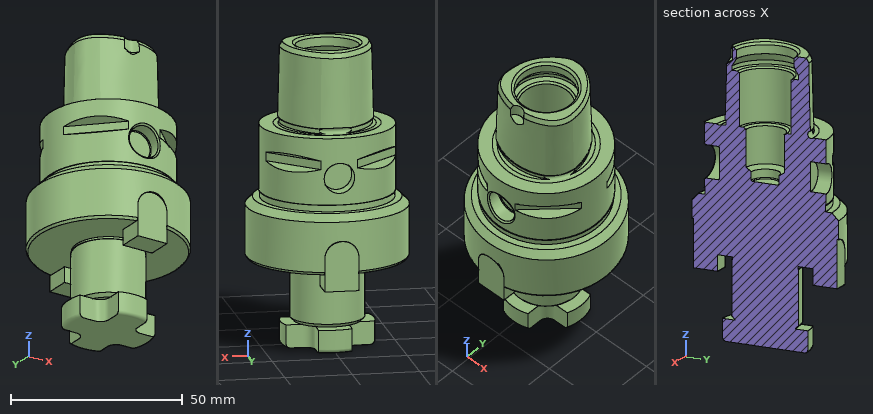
import cadquery as cq
import math

HEAD_TOP = 7.0
FLANGE_BOTTOM = 26.0
FLANGE_TOP = 44.0
BODY_BOTTOM = 46.0
BODY_TOP = 66.0
NECK_TOP = 67.4
SHANK_TOP = 90.0

FLANGE_DIA = 48.0
FLANGE_TOP_CHAMFER = 2.2
FLANGE_BOTTOM_CHAMFER = (0.5, 0.8)
BODY_DIA = 40.0
RELIEF_DIA = 39.5
SPINDLE_DIA = 22.0
SPINDLE_RELIEF_DIA = 21.6
SPINDLE_RELIEF_LENGTH = 0.7
SPINDLE_CHAMFER = 1.1

LOBE_ANGLES = (90, 210, 330)
ARC_HALF_ANGLE = 30
OPPOSITE_LOBE = 240
LOBE_CENTRE_RADIUS = 6.1
LOBE_RADIUS = 8.7
TAPER_RATIO = 0.025
SHANK_CHAMFER_HEIGHT = 1.4
SHANK_CHAMFER_ANGLE = 30
NECK_INSET = 0.3

GROOVE_CENTRE_RADIUS = 15.0
GROOVE_CENTRE_RISE = 0.8
GROOVE_RADIUS = 1.1

NOTCH_DIA = 5.6
NOTCH_OFFSET = 13.6
NOTCH_DEPTH = 4.0
NOTCH_POINT_ANGLE = 104

BORE_MOUTH_DIA = 20.3
BORE_UPPER_DIA = 18.7
BORE_LIP_DEPTH = 0.7
BORE_UPPER_DEPTH = 3.4
BORE_GROOVE_DIA = 21.6
BORE_GROOVE_TAPER_DEPTH = 5.8
BORE_GROOVE_BOTTOM_DEPTH = 7.0
BORE_SEAT_DIA = 18.0
BORE_LOWER_DIA = 16.7
BORE_LOWER_TOP_DEPTH = 7.6
BORE_LOWER_DEPTH = 23.85
COUNTERSINK_DIA = 14.2
COUNTERSINK_LENGTH = 0.5
THREAD_DIA = 12.4
THREAD_DEPTH = 36.0
THREAD_POINT_LENGTH = 1.1
BORE_END_DIA = 9.0
BORE_FLOOR_DIA = 8.4
BORE_FLOOR_DEPTH = 40.0

RADIAL_HOLE_HEIGHT = 54.0
RADIAL_HOLE_DEPTH = 5.0
FRONT_HOLE_DIA = 10.0
FRONT_HOLE_CHAMFER = 0.5
FRONT_HOLE_FLOOR_BEVEL = 0.3
REAR_HOLE_DIA = 9.0

GRIPPER_HEIGHT = 58.0
GRIPPER_ANGLES = (45, 135, 225, 315)
GRIPPER_FLOOR_DISTANCE = 17.5
GRIPPER_FLOOR_WIDTH = 2.5
GRIPPER_MOUTH_WIDTH = 5.2

KEY_WIDTH = 10.1
KEY_BOTTOM = 21.0
KEY_TOP = 36.0
KEY_OUTER = 23.5
KEY_INNER = 15.6

HEAD_DIA = 28.0
ARM_WIDTH = 10.0
ARM_CORNER_RADIUS = 3.0
HEAD_ROUND = 1.3

CLEARANCE = 4.5


def polar(radius, angle, centre=(0, 0)):
    """Point at a radius and an angle in degrees around a centre."""
    turn = math.radians(angle)
    return centre[0] + radius * math.cos(turn), centre[1] + radius * math.sin(turn)


def revolve_profile(points):
    """Solid of revolution about Z from (radius, height) points."""
    return cq.Workplane("XZ").polyline(points).close().revolve(360, (0, 0), (0, 1))


def turned_body():
    spindle = SPINDLE_DIA / 2
    spindle_relief = SPINDLE_RELIEF_DIA / 2
    flange = FLANGE_DIA / 2
    relief = RELIEF_DIA / 2
    body = BODY_DIA / 2
    bottom_inset, bottom_rise = FLANGE_BOTTOM_CHAMFER
    return revolve_profile([
        (0, HEAD_TOP),
        (spindle - SPINDLE_CHAMFER, HEAD_TOP),
        (spindle, HEAD_TOP + SPINDLE_CHAMFER),
        (spindle, FLANGE_BOTTOM - SPINDLE_RELIEF_LENGTH),
        (spindle_relief, FLANGE_BOTTOM - SPINDLE_RELIEF_LENGTH),
        (spindle_relief, FLANGE_BOTTOM),
        (flange - bottom_inset, FLANGE_BOTTOM),
        (flange, FLANGE_BOTTOM + bottom_rise),
        (flange, FLANGE_TOP - FLANGE_TOP_CHAMFER),
        (flange - FLANGE_TOP_CHAMFER, FLANGE_TOP),
        (relief, FLANGE_TOP),
        (relief, BODY_BOTTOM),
        (body, BODY_BOTTOM),
        (body, BODY_TOP),
        (0, BODY_TOP),
    ])


def polygon_outline(workplane, inset):
    """Rounded three-lobed outline of constant width: lobe arcs alternate with wide flank arcs."""
    lobe_radius = LOBE_RADIUS - inset
    flank_radius = lobe_radius + LOBE_CENTRE_RADIUS * math.sqrt(3)
    first_centre = polar(LOBE_CENTRE_RADIUS, LOBE_ANGLES[0])
    first_point = polar(lobe_radius, LOBE_ANGLES[0] - ARC_HALF_ANGLE, first_centre)
    outline = workplane.moveTo(*first_point)
    for angle in LOBE_ANGLES:
        lobe_centre = polar(LOBE_CENTRE_RADIUS, angle)
        opposite_centre = polar(LOBE_CENTRE_RADIUS, angle + OPPOSITE_LOBE)
        outline = outline.threePointArc(
            polar(lobe_radius, angle, lobe_centre),
            polar(lobe_radius, angle + ARC_HALF_ANGLE, lobe_centre),
        ).threePointArc(
            polar(flank_radius, angle + 2 * ARC_HALF_ANGLE, opposite_centre),
            polar(flank_radius, angle + 3 * ARC_HALF_ANGLE, opposite_centre),
        )
    return outline.close()


def polygon_frustum(bottom, top, bottom_inset, top_inset):
    lower = polygon_outline(cq.Workplane("XY").workplane(offset=bottom), bottom_inset)
    return polygon_outline(lower.workplane(offset=top - bottom), top_inset).loft(ruled=True)


def shank():
    chamfer_start = SHANK_TOP - SHANK_CHAMFER_HEIGHT
    taper_inset = TAPER_RATIO * (chamfer_start - NECK_TOP)
    chamfer_inset = SHANK_CHAMFER_HEIGHT * math.tan(math.radians(SHANK_CHAMFER_ANGLE))
    neck = polygon_frustum(BODY_TOP, NECK_TOP, NECK_INSET, NECK_INSET)
    taper = polygon_frustum(NECK_TOP, chamfer_start, 0, taper_inset)
    tip = polygon_frustum(chamfer_start, SHANK_TOP, taper_inset, taper_inset + chamfer_inset)
    return neck.union(taper).union(tip)


def foot_groove():
    return (
        cq.Workplane("XZ")
        .center(GROOVE_CENTRE_RADIUS, BODY_TOP + GROOVE_CENTRE_RISE)
        .circle(GROOVE_RADIUS)
        .revolve(360, (-GROOVE_CENTRE_RADIUS, 0), (-GROOVE_CENTRE_RADIUS, 1))
    )


def orientation_notch():
    radius = NOTCH_DIA / 2
    shoulder = SHANK_TOP - NOTCH_DEPTH
    point_depth = radius / math.tan(math.radians(NOTCH_POINT_ANGLE / 2))
    drill = revolve_profile([
        (0, shoulder - point_depth),
        (radius, shoulder),
        (radius, SHANK_TOP + CLEARANCE),
        (0, SHANK_TOP + CLEARANCE),
    ])
    return drill.translate((0, -NOTCH_OFFSET, 0))


def central_bore():
    thread_top = BORE_LOWER_DEPTH + COUNTERSINK_LENGTH
    floor_bevel = (BORE_END_DIA - BORE_FLOOR_DIA) / 2
    steps = [
        (BORE_MOUTH_DIA, 0),
        (BORE_UPPER_DIA, BORE_LIP_DEPTH),
        (BORE_UPPER_DIA, BORE_UPPER_DEPTH),
        (BORE_GROOVE_DIA, BORE_GROOVE_TAPER_DEPTH),
        (BORE_GROOVE_DIA, BORE_GROOVE_BOTTOM_DEPTH),
        (BORE_SEAT_DIA, BORE_GROOVE_BOTTOM_DEPTH),
        (BORE_LOWER_DIA, BORE_LOWER_TOP_DEPTH),
        (BORE_LOWER_DIA, BORE_LOWER_DEPTH),
        (COUNTERSINK_DIA, BORE_LOWER_DEPTH),
        (THREAD_DIA, thread_top),
        (THREAD_DIA, THREAD_DEPTH),
        (BORE_END_DIA, THREAD_DEPTH + THREAD_POINT_LENGTH),
        (BORE_END_DIA, BORE_FLOOR_DEPTH - floor_bevel),
        (BORE_FLOOR_DIA, BORE_FLOOR_DEPTH),
    ]
    wall = [(diameter / 2, SHANK_TOP - depth) for diameter, depth in steps]
    return revolve_profile([(0, SHANK_TOP)] + wall + [(0, SHANK_TOP - BORE_FLOOR_DEPTH)])


def radial_hole(diameter, side):
    """Blind hole into the body, entering from the -Y (side = -1) or +Y (side = 1) surface."""
    floor = side * (BODY_DIA / 2 - RADIAL_HOLE_DEPTH)
    return (
        cq.Workplane("XZ", origin=(0, floor, RADIAL_HOLE_HEIGHT))
        .circle(diameter / 2)
        .extrude(-side * (RADIAL_HOLE_DEPTH + CLEARANCE))
    )


def gripper_groove(angle):
    reach = BODY_DIA / 2 - GRIPPER_FLOOR_DISTANCE
    half_floor = GRIPPER_FLOOR_WIDTH / 2
    half_mouth = GRIPPER_MOUTH_WIDTH / 2
    profile = [
        (GRIPPER_FLOOR_DISTANCE, GRIPPER_HEIGHT - half_floor),
        (GRIPPER_FLOOR_DISTANCE + reach, GRIPPER_HEIGHT - half_mouth),
        (GRIPPER_FLOOR_DISTANCE + reach, GRIPPER_HEIGHT + half_mouth),
        (GRIPPER_FLOOR_DISTANCE, GRIPPER_HEIGHT + half_floor),
    ]
    groove = cq.Workplane("XZ").polyline(profile).close().extrude(BODY_DIA / 2, both=True)
    return groove.rotate((0, 0, 0), (0, 0, 1), angle)


def key_prism(inner, outer, side):
    """Round-topped key outline spanning two distances from the axis along Y."""
    half_width = KEY_WIDTH / 2
    return (
        cq.Workplane("XZ", origin=(0, side * inner, 0))
        .moveTo(-half_width, KEY_BOTTOM)
        .lineTo(half_width, KEY_BOTTOM)
        .lineTo(half_width, KEY_TOP - half_width)
        .threePointArc((0, KEY_TOP), (-half_width, KEY_TOP - half_width))
        .close()
        .extrude(-side * (outer - inner))
    )


def screw_head():
    """Cross of four arms with rounded inner corners, trimmed to a disc rounded at its lower edge."""
    disc = cq.Workplane("XY").circle(HEAD_DIA / 2).extrude(HEAD_TOP)
    disc = disc.faces("<Z").edges().fillet(HEAD_ROUND)
    arm = cq.Workplane("XY").rect(HEAD_DIA, ARM_WIDTH).extrude(HEAD_TOP)
    cross = arm.union(arm.rotate((0, 0, 0), (0, 0, 1), 90))
    corner_reach = ARM_WIDTH / 2 + ARM_CORNER_RADIUS
    corner = cq.selectors.BoxSelector(
        (-corner_reach, -corner_reach, 0), (corner_reach, corner_reach, HEAD_TOP)
    )
    cross = cross.edges("|Z").edges(corner).fillet(ARM_CORNER_RADIUS)
    return disc.intersect(cross)


front_hole = radial_hole(FRONT_HOLE_DIA, -1).faces(">Y").edges().chamfer(FRONT_HOLE_FLOOR_BEVEL)
part = turned_body().cut(front_hole)
front_rim = cq.selectors.BoxSelector(
    (-FRONT_HOLE_DIA, -FLANGE_DIA, RADIAL_HOLE_HEIGHT - FRONT_HOLE_CHAMFER),
    (FRONT_HOLE_DIA, -(BODY_DIA / 2 - RADIAL_HOLE_DEPTH / 4), RADIAL_HOLE_HEIGHT + FRONT_HOLE_CHAMFER),
)
part = part.edges(front_rim).chamfer(FRONT_HOLE_CHAMFER)
part = part.cut(radial_hole(REAR_HOLE_DIA, 1))

for diagonal in GRIPPER_ANGLES:
    part = part.cut(gripper_groove(diagonal))

part = part.union(shank())
for cutter in (foot_groove(), orientation_notch(), central_bore()):
    part = part.cut(cutter)

for key_side in (-1, 1):
    part = part.cut(key_prism(KEY_OUTER, KEY_OUTER + CLEARANCE, key_side))
    part = part.union(key_prism(KEY_INNER, KEY_OUTER, key_side))

result = part.union(screw_head())